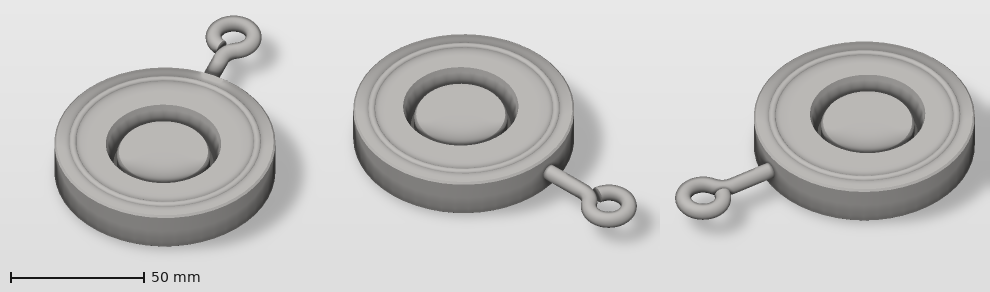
import cadquery as cq
import math

disc_diameter = 83.0
disc_thickness = 16.0
edge_chamfer = 0.7
overall_height = 17.6
overall_length = 123.0

bead_outer_radius = 36.0
bead_inner_radius = 33.3

recess_top_radius = 21.6
recess_floor_radius = 18.8
recess_depth = 10.0
recess_offset_y = -1.5
boss_radius = 35.0 / 2
boss_top_radius = 16.7
boss_drop = 3.9
boss_chamfer_height = 1.5

wire_diameter = 6.0
eye_radius = 7.5
bend_angle = 60.0
eye_end_gap = 16.0
shank_embed = 6.1

disc_radius = disc_diameter / 2
half_thickness = disc_thickness / 2
bead_height = (overall_height - disc_thickness) / 2
eye_center_y = overall_length - disc_radius - eye_radius - wire_diameter / 2


def make_disc():
    disc = cq.Workplane("XY").workplane(offset=-half_thickness).circle(disc_radius).extrude(disc_thickness)
    return disc.faces("|Z").edges().chamfer(edge_chamfer)


def make_bead():
    """Arc-shaped bead standing on the top face; its foot is sunk to the mid-plane."""
    crest_radius = (bead_inner_radius + bead_outer_radius) / 2
    profile = (
        cq.Workplane("XZ")
        .moveTo(bead_inner_radius, 0)
        .lineTo(bead_inner_radius, half_thickness)
        .threePointArc(
            (crest_radius, half_thickness + bead_height),
            (bead_outer_radius, half_thickness),
        )
        .lineTo(bead_outer_radius, 0)
        .close()
    )
    return profile.revolve(360, (0, 0), (0, 1))


def make_recess():
    """Volume removed from the top face: a tapered bowl around the centre boss."""
    floor = half_thickness - recess_depth
    boss_top = half_thickness - boss_drop
    profile = (
        cq.Workplane("XZ")
        .moveTo(0, boss_top)
        .lineTo(boss_top_radius, boss_top)
        .lineTo(boss_radius, boss_top - boss_chamfer_height)
        .lineTo(boss_radius, floor)
        .lineTo(recess_floor_radius, floor)
        .lineTo(recess_top_radius, half_thickness)
        .lineTo(0, half_thickness)
        .close()
    )
    return profile.revolve(360, (0, 0), (0, 1)).translate((0, recess_offset_y, 0))


def make_eye_screw():
    """Round wire: straight shank, bend towards +X, then the open eye."""
    wire_radius = wire_diameter / 2
    bend_start_y = eye_center_y - 2 * eye_radius * math.sin(math.radians(bend_angle))
    shank_start_y = disc_radius - shank_embed

    def bend_point(degrees):
        angle = math.radians(degrees)
        return (
            eye_radius * (1 - math.cos(angle)),
            bend_start_y + eye_radius * math.sin(angle),
        )

    stem_path = (
        cq.Workplane("XY")
        .moveTo(0, shank_start_y)
        .lineTo(0, bend_start_y)
        .threePointArc(bend_point(bend_angle / 2), bend_point(bend_angle))
    )
    stem = (
        cq.Workplane("XZ", origin=(0, shank_start_y, 0))
        .circle(wire_radius)
        .sweep(stem_path)
    )

    eye_start = -bend_angle
    eye_end = 270 - eye_end_gap
    eye = (
        cq.Workplane("XZ")
        .center(eye_radius, 0)
        .circle(wire_radius)
        .revolve(eye_end - eye_start, (-eye_radius, 0), (-eye_radius, 1))
        .rotate((0, 0, 0), (0, 0, 1), eye_start)
        .translate((0, eye_center_y, 0))
    )
    return stem.union(eye)


top_bead = make_bead()
bottom_bead = top_bead.mirror("XY")
result = make_disc().union(top_bead).union(bottom_bead).cut(make_recess()).union(make_eye_screw())